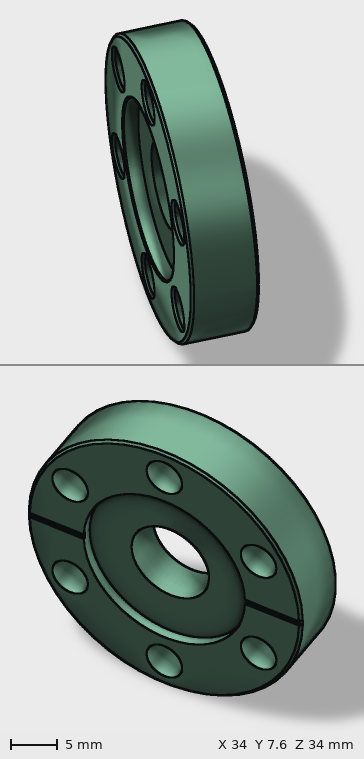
import cadquery as cq

ring_diameter = 34.0
ring_thickness = 7.6
rim_chamfer = 0.3
front_y = -ring_thickness / 2
back_y = ring_thickness / 2

bolt_count = 6
bolt_circle_diameter = 27.0
bolt_hole_diameter = 4.4
bolt_hole_chamfer = 0.3

insert_diameter = 20.0
insert_bore_diameter = 9.6
insert_front_recess = 1.75
insert_back_recess = 1.25
seat_chamfer = 0.15

groove_width = 0.6
groove_depth = 0.3


def cylinder(diameter, start_y, end_y):
    """Solid cylinder on the Y axis from start_y to end_y."""
    return (
        cq.Workplane("XZ", origin=(0, start_y, 0))
        .circle(diameter / 2)
        .extrude(start_y - end_y)
    )


def chamfered_hole_cutter(diameter, chamfer):
    """Through-hole cutter on the Y axis that flares at the front face."""
    radius = diameter / 2
    return (
        cq.Workplane("XY")
        .moveTo(0, front_y)
        .lineTo(radius + chamfer, front_y)
        .lineTo(radius, front_y + chamfer)
        .lineTo(radius, back_y)
        .lineTo(0, back_y)
        .close()
        .revolve(360, (0, 0, 0), (0, 1, 0))
    )


def groove_cutter():
    """Bar along X that cuts the groove at the middle of the back face."""
    return cq.Workplane("XY").box(ring_diameter, 2 * groove_depth, groove_width).translate((0, back_y, 0))


def make_ring():
    body = cylinder(ring_diameter, front_y, back_y).edges().chamfer(rim_chamfer)
    body = body.cut(chamfered_hole_cutter(insert_diameter, seat_chamfer))
    bolt_cutter = chamfered_hole_cutter(bolt_hole_diameter, bolt_hole_chamfer)
    first_bolt = bolt_cutter.translate((0, 0, bolt_circle_diameter / 2))
    for index in range(bolt_count):
        angle = index * 360 / bolt_count
        body = body.cut(first_bolt.rotate((0, 0, 0), (0, 1, 0), angle))
    return body.cut(groove_cutter())


def make_insert():
    insert_front_y = front_y + insert_front_recess
    insert_back_y = back_y - insert_back_recess
    body = cylinder(insert_diameter, insert_front_y, insert_back_y)
    return body.cut(cylinder(insert_bore_diameter, insert_front_y, insert_back_y))


ring = make_ring()
insert = make_insert()

result = cq.Compound.makeCompound([ring.val(), insert.val()])